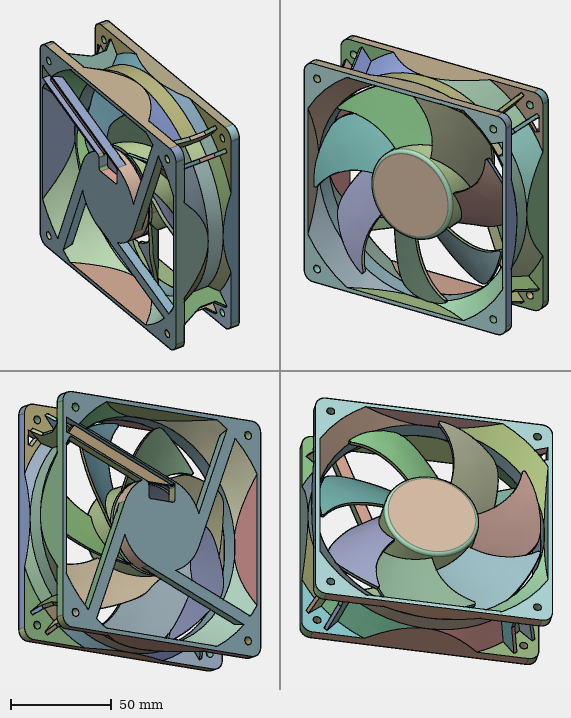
import cadquery as cq
import math

SIDE = 120.0
DEPTH = 38.0
FRONT_Y = -DEPTH / 2
REAR_Y = DEPTH / 2
CORNER_RADIUS = 5.4
FLANGE_THICKNESS = 5.0
SCREW_HOLE_DIAMETER = 4.0
SCREW_HOLE_SPACING = 104.6

THROAT_RADIUS = 116.0 / 2
WALL = SIDE / 2 - THROAT_RADIUS
THROAT_FRONT_Y = 0.4
THROAT_REAR_Y = 9.2
PASSAGE_SIDE = 115.5
FRONT_MOUTH_RADIUS = 66.7
REAR_MOUTH_RADIUS = 67.3

FIN_HEIGHT = 8.4
FIN_THICKNESS = 2.0
FIN_BLANK_LENGTH = SIDE / 2
FIN_HALF_SPREAD = 5.0

CUP_RADIUS = 24.0
CUP_BORE_RADIUS = 44.0 / 2
CUP_DEPTH = 8.0
CUP_FLOOR = FLANGE_THICKNESS
STRUT_WIDTH = 6.0
STRUT_TILT = 20.7
STRUT_LENGTH = 72.0

CHANNEL_STRUT_WIDTH = 8.8
CHANNEL_WALL = 1.0
CHANNEL_DEPTH = 3.0
CHANNEL_INNER_OFFSET = CUP_RADIUS - CHANNEL_STRUT_WIDTH + CHANNEL_WALL
WINDOW_WIDTH = 15.8
WINDOW_BOTTOM = 12.0
WINDOW_TOP = 21.4
WINDOW_CORNER_RADIUS = 1.5

BLADE_COUNT = 7
HUB_RADIUS = CUP_RADIUS
HUB_GAP = 2.0
HUB_FRONT_Y = FRONT_Y + CUP_DEPTH + HUB_GAP
HUB_REAR_Y = 13.9
HUB_WALL = HUB_RADIUS - CUP_BORE_RADIUS
HUB_EDGE_RADIUS = 1.8
BLADE_ROOT_RADIUS = 22.8
BLADE_TIP_RADIUS = 57.0
BLADE_THICKNESS = 2.0
BLADE_MARGIN = 0.6
FIRST_TIP_ANGLE = 93.0
TRAILING_TIP_Y = 13.8
ROOT_PITCH = 0.23
TIP_PITCH = 0.1
TIP_CURL = 0.007
RAIL_ANGLES = range(-10, 111, 10)
TIP_ARC_START = 0.5
TIP_ARC_END = 31.0
TRAILING_EDGE = [(22.8, 21.5), (33.6, 16.9), (40.5, 12.9), (46.5, 8.7), (51.2, 4.7), (55.8, 0.2)]
LEADING_EDGE = [(55.2, 37.2), (54.2, 38.7), (47.2, 47.6), (41.4, 55.7), (34.2, 68.0), (29.4, 75.8), (24.4, 92.0), (22.8, 97)]


def prism(sketch_plane_y):
    """Workplane whose local axes are X and Z; a negative extrusion runs toward +Y."""
    return cq.Workplane("XZ", origin=(0, sketch_plane_y, 0))


def turned(body, angle):
    """Copy turned about the fan axis, counter-clockwise as seen from the front, in degrees."""
    return body.rotate((0, 0, 0), (0, 1, 0), -angle)


def square_block(side):
    return prism(FRONT_Y).rect(side, side).extrude(-DEPTH)


def duct_body(offset):
    """Solid of revolution that follows the duct's inner face at a radial offset."""
    return (
        cq.Workplane("XY")
        .moveTo(0, FRONT_Y)
        .lineTo(FRONT_MOUTH_RADIUS + offset, FRONT_Y)
        .lineTo(THROAT_RADIUS + offset, THROAT_FRONT_Y)
        .lineTo(THROAT_RADIUS + offset, THROAT_REAR_Y)
        .lineTo(REAR_MOUTH_RADIUS + offset, REAR_Y)
        .lineTo(0, REAR_Y)
        .close()
        .revolve(360, (0, 0, 0), (0, 1, 0))
    )


def air_passage():
    """Round throat, with both mouths cut flat at the sides."""
    throat = prism(THROAT_FRONT_Y).circle(THROAT_RADIUS).extrude(THROAT_FRONT_Y - THROAT_REAR_Y)
    return duct_body(0).intersect(square_block(PASSAGE_SIDE)).union(throat)


def flange(front_face_y):
    plate = prism(front_face_y).rect(SIDE, SIDE).extrude(-FLANGE_THICKNESS)
    return plate.edges("|Y").fillet(CORNER_RADIUS)


def space_between_flanges():
    return prism(FRONT_Y + FLANGE_THICKNESS).rect(SIDE, SIDE).extrude(2 * FLANGE_THICKNESS - DEPTH)


def fins():
    """Radial plates whose outer edge runs parallel to the duct wall."""
    envelope = duct_body(WALL + FIN_HEIGHT)
    plates = cq.Workplane("XY")
    for corner in range(4):
        for side in (-1, 1):
            angle = 45 + 90 * corner + side * FIN_HALF_SPREAD
            plate = (
                prism(FRONT_Y)
                .center(SIDE / 2, 0)
                .rect(FIN_BLANK_LENGTH, FIN_THICKNESS)
                .extrude(-DEPTH)
            )
            plates = plates.union(turned(plate, angle))
    return plates.intersect(envelope).intersect(space_between_flanges())


def tangent_bar(inner_offset, outer_offset, depth):
    """Bar running out along +X, tilted down, between two distances from the fan axis."""
    bar = (
        prism(FRONT_Y)
        .moveTo(0, -outer_offset)
        .lineTo(STRUT_LENGTH, -outer_offset)
        .lineTo(STRUT_LENGTH, -inner_offset)
        .lineTo(0, -inner_offset)
        .close()
        .extrude(-depth)
    )
    return turned(bar, -STRUT_TILT)


def struts():
    """Three plain struts and the wider cable strut, each with one side tangent to the cup."""
    plain = tangent_bar(CUP_RADIUS - STRUT_WIDTH, CUP_RADIUS, FLANGE_THICKNESS)
    bars = turned(tangent_bar(CUP_RADIUS - CHANNEL_STRUT_WIDTH, CUP_RADIUS, FLANGE_THICKNESS), 180)
    for angle in (0, 90, 270):
        bars = bars.union(turned(plain, angle))
    return bars.intersect(air_passage())


def channel_band(depth):
    return turned(tangent_bar(CHANNEL_INNER_OFFSET, CUP_RADIUS - CHANNEL_WALL, depth), 180)


def cup_window(depth):
    window = (
        prism(FRONT_Y)
        .center(0, (WINDOW_BOTTOM + WINDOW_TOP) / 2)
        .rect(WINDOW_WIDTH, WINDOW_TOP - WINDOW_BOTTOM)
        .extrude(-depth)
    )
    return window.edges("|Y").fillet(WINDOW_CORNER_RADIUS)


def cable_channel():
    """Groove in the front of the cable strut that runs from the frame's edge into the cup's window."""
    left = -PASSAGE_SIDE / 2
    right = WINDOW_WIDTH / 2
    limits = (
        prism(FRONT_Y)
        .center((left + right) / 2, SIDE / 4)
        .rect(right - left, SIDE / 2)
        .extrude(-CHANNEL_DEPTH)
    )
    groove = channel_band(CHANNEL_DEPTH).intersect(limits).union(cup_window(CHANNEL_DEPTH))
    tilt = math.radians(STRUT_TILT)
    corner_z = CHANNEL_INNER_OFFSET / math.cos(tilt) + WINDOW_WIDTH / 2 * math.tan(tilt)
    corner = cq.selectors.NearestToPointSelector((-WINDOW_WIDTH / 2, FRONT_Y + CHANNEL_DEPTH / 2, corner_z))
    return groove.edges("|Y").edges(corner).fillet(WINDOW_CORNER_RADIUS)


def cable_exit():
    """Opening through both flanges, outside the duct's mouth, at the end of the channel."""
    mouth = prism(FRONT_Y).circle(REAR_MOUTH_RADIUS).extrude(-DEPTH)
    outside_mouth = square_block(PASSAGE_SIDE).cut(mouth)
    opening = channel_band(DEPTH).intersect(outside_mouth)
    return opening.cut(space_between_flanges())


def motor_cup():
    cup = prism(FRONT_Y).circle(CUP_RADIUS).extrude(-CUP_DEPTH)
    bore = prism(FRONT_Y + CUP_FLOOR).circle(CUP_BORE_RADIUS).extrude(CUP_FLOOR - CUP_DEPTH)
    return cup.cut(bore)


def screw_holes():
    return (
        prism(FRONT_Y)
        .rect(SCREW_HOLE_SPACING, SCREW_HOLE_SPACING, forConstruction=True)
        .vertices()
        .circle(SCREW_HOLE_DIAMETER / 2)
        .extrude(-DEPTH)
    )


def make_frame():
    frame = duct_body(WALL).intersect(square_block(SIDE))
    frame = frame.union(flange(FRONT_Y)).union(flange(REAR_Y - FLANGE_THICKNESS)).union(fins())
    frame = frame.cut(air_passage()).cut(screw_holes())
    frame = frame.union(struts()).union(motor_cup())
    return frame.cut(cable_channel()).cut(cup_window(CUP_FLOOR)).cut(cable_exit())


def blade_point(radius, angle, y):
    turn = math.radians(FIRST_TIP_ANGLE + angle)
    return cq.Vector(radius * math.cos(turn), y, radius * math.sin(turn))


def blade_rail(radius, pitch, curl):
    """Edge at a constant radius that moves toward the front as the angle grows."""
    points = [blade_point(radius, a, TRAILING_TIP_Y - pitch * a - curl * a**2) for a in RAIL_ANGLES]
    return cq.Edge.makeSpline(points, parameters=[float(a) for a in RAIL_ANGLES])


def blade_outline():
    """Blade as seen along the fan axis, as a prism through the whole depth."""

    def flat(radius, angle):
        point = blade_point(radius, angle, 0)
        return (point.x, point.z)

    trailing = [flat(*p) for p in TRAILING_EDGE]
    leading = [flat(*p) for p in LEADING_EDGE]
    tip_arc_middle = (TIP_ARC_START + TIP_ARC_END) / 2
    return (
        prism(FRONT_Y)
        .moveTo(*trailing[0])
        .spline(trailing[1:], includeCurrent=True)
        .lineTo(*flat(BLADE_TIP_RADIUS, TIP_ARC_START))
        .threePointArc(flat(BLADE_TIP_RADIUS, tip_arc_middle), flat(BLADE_TIP_RADIUS, TIP_ARC_END))
        .spline(leading, includeCurrent=True)
        .close()
        .extrude(-DEPTH)
    )


def make_blade():
    sheet = cq.Face.makeRuledSurface(
        blade_rail(BLADE_ROOT_RADIUS - BLADE_MARGIN, ROOT_PITCH, 0),
        blade_rail(BLADE_TIP_RADIUS + BLADE_MARGIN, TIP_PITCH, TIP_CURL),
    )
    slab = cq.Solid.extrudeLinear(sheet, cq.Vector(0, BLADE_THICKNESS, 0))
    return blade_outline().intersect(cq.Workplane(slab))


def make_rotor():
    rotor = prism(HUB_FRONT_Y).circle(HUB_RADIUS).extrude(HUB_FRONT_Y - HUB_REAR_Y)
    rotor = rotor.edges(">Y").fillet(HUB_EDGE_RADIUS)
    blade = make_blade()
    for index in range(BLADE_COUNT):
        rotor = rotor.union(turned(blade, index * 360 / BLADE_COUNT))
    bore = prism(HUB_FRONT_Y).circle(CUP_BORE_RADIUS).extrude(HUB_FRONT_Y - HUB_REAR_Y + HUB_WALL)
    return rotor.cut(bore)


frame = make_frame()
rotor = make_rotor()
result = cq.Compound.makeCompound([frame.val(), rotor.val()])